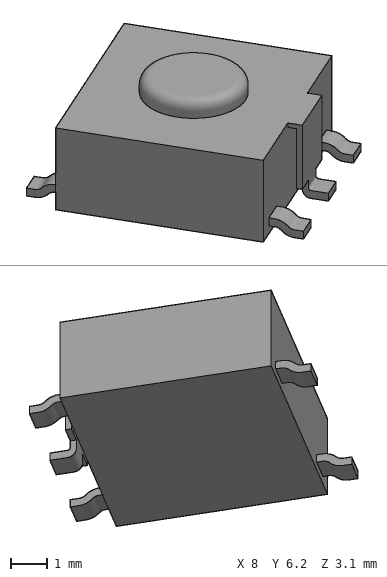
import cadquery as cq
import math

body_length = 6.0
body_width = 6.2
body_height = 2.58

total_height = 3.1
button_diameter = 3.0
button_round = 0.3

overall_length = 8.0
lead_width = 0.7
lead_thickness = 0.25
lead_pitch = 4.5
shoulder_length = 0.17
foot_length = 0.25

tab_width = 1.77
tab_reach = 0.42
tab_thickness = 0.14
panel_thickness = 0.175
panel_bottom = 0.556
bend_inner_radius = 0.08

body_end = body_length / 2
lead_tip = overall_length / 2
sin_45 = math.sin(math.radians(45))


def make_body():
    return cq.Workplane("XY").box(body_length, body_width, body_height, centered=(True, True, False))


def make_button():
    return (
        cq.Workplane("XY")
        .workplane(offset=body_height)
        .circle(button_diameter / 2)
        .extrude(total_height - body_height)
        .faces(">Z")
        .edges()
        .fillet(button_round)
    )


def make_gull_wing_lead():
    """Lead on the +X end: flat shoulder, two opposite tangent arcs, flat foot."""
    shoulder_end = body_end + shoulder_length
    foot_start = lead_tip - foot_length
    run = foot_start - shoulder_end
    drop = lead_thickness

    bend_angle = 2 * math.atan(drop / run)
    mean_radius = run / (2 * math.sin(bend_angle))
    large_radius = mean_radius + lead_thickness / 2
    small_radius = mean_radius - lead_thickness / 2

    shoulder_top = drop + lead_thickness
    upper_center_z = shoulder_top - large_radius
    lower_center_z = large_radius

    def upper_arc_point(radius, angle):
        return (shoulder_end + radius * math.sin(angle), upper_center_z + radius * math.cos(angle))

    def lower_arc_point(radius, angle):
        return (foot_start - radius * math.sin(angle), lower_center_z - radius * math.cos(angle))

    half_angle = bend_angle / 2
    return (
        cq.Workplane("XZ")
        .moveTo(body_end, shoulder_top)
        .lineTo(shoulder_end, shoulder_top)
        .threePointArc(upper_arc_point(large_radius, half_angle), upper_arc_point(large_radius, bend_angle))
        .threePointArc(lower_arc_point(small_radius, half_angle), (foot_start, lead_thickness))
        .lineTo(lead_tip, lead_thickness)
        .lineTo(lead_tip, 0)
        .lineTo(foot_start, 0)
        .threePointArc(lower_arc_point(large_radius, half_angle), lower_arc_point(large_radius, bend_angle))
        .threePointArc(upper_arc_point(small_radius, half_angle), (shoulder_end, drop))
        .lineTo(body_end, drop)
        .close()
        .extrude(lead_width / 2, both=True)
    )


def make_ground_terminal():
    """Tab bent down the +X end, with a narrower stem that bends outward into a foot."""
    panel_outer = body_end + tab_reach
    panel_inner = panel_outer - panel_thickness

    tab_and_panel = (
        cq.Workplane("XZ")
        .moveTo(body_end, body_height)
        .lineTo(panel_outer, body_height)
        .lineTo(panel_outer, panel_bottom)
        .lineTo(panel_inner, panel_bottom)
        .lineTo(panel_inner, body_height - tab_thickness)
        .lineTo(body_end, body_height - tab_thickness)
        .close()
        .extrude(tab_width / 2, both=True)
    )

    bend_end = panel_outer + bend_inner_radius
    bend_outer_radius = bend_inner_radius + panel_thickness
    inner_center_z = lead_thickness + bend_inner_radius
    inner_mid = (bend_end - bend_inner_radius * sin_45, inner_center_z - bend_inner_radius * sin_45)
    outer_mid = (bend_end - bend_outer_radius * sin_45, bend_outer_radius * (1 - sin_45))
    stem_and_foot = (
        cq.Workplane("XZ")
        .moveTo(panel_outer, panel_bottom)
        .lineTo(panel_outer, inner_center_z)
        .threePointArc(inner_mid, (bend_end, lead_thickness))
        .lineTo(lead_tip, lead_thickness)
        .lineTo(lead_tip, 0)
        .lineTo(bend_end, 0)
        .threePointArc(outer_mid, (panel_inner, bend_outer_radius))
        .lineTo(panel_inner, panel_bottom)
        .close()
        .extrude(lead_width / 2, both=True)
    )
    return tab_and_panel.union(stem_and_foot)


result = make_body().union(make_button()).union(make_ground_terminal())

right_lead = make_gull_wing_lead()
left_lead = right_lead.mirror("YZ")
for lead_y in (-lead_pitch / 2, lead_pitch / 2):
    for lead in (left_lead, right_lead):
        result = result.union(lead.translate((0, lead_y, 0)))